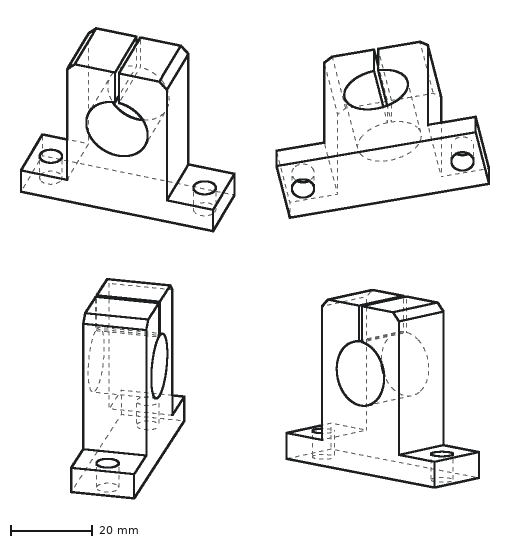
import cadquery as cq

base_length = 50
depth = 16
total_height = 42
base_height = 6.5

column_width = 26
column_chamfer = 2

bore_diameter = 16
bore_height = 25
slit_width = 1

hole_diameter = 5.5
hole_spacing = 40


def make_body():
    """Flat base with a centred upright whose top outer edges are chamfered."""
    base = cq.Workplane("XY").box(base_length, depth, base_height, centered=(True, True, False))
    column = (
        cq.Workplane("XY")
        .box(column_width, depth, total_height, centered=(True, True, False))
        .faces(">Z")
        .edges("|Y")
        .chamfer(column_chamfer)
    )
    return base.union(column)


def make_bore():
    """Shaft bore running along Y through the column."""
    return (
        cq.Workplane("XZ")
        .center(0, bore_height)
        .circle(bore_diameter / 2)
        .extrude(depth / 2, both=True)
    )


def make_slit():
    """Clamping slit from the bore axis up through the top of the column."""
    return (
        cq.Workplane("XY")
        .workplane(offset=bore_height)
        .rect(slit_width, depth)
        .extrude(total_height - bore_height)
    )


def make_mounting_holes():
    """Vertical through holes, one in each base flange."""
    return (
        cq.Workplane("XY")
        .pushPoints([(side * hole_spacing / 2, 0) for side in (-1, 1)])
        .circle(hole_diameter / 2)
        .extrude(base_height)
    )


result = make_body().cut(make_bore()).cut(make_slit()).cut(make_mounting_holes())